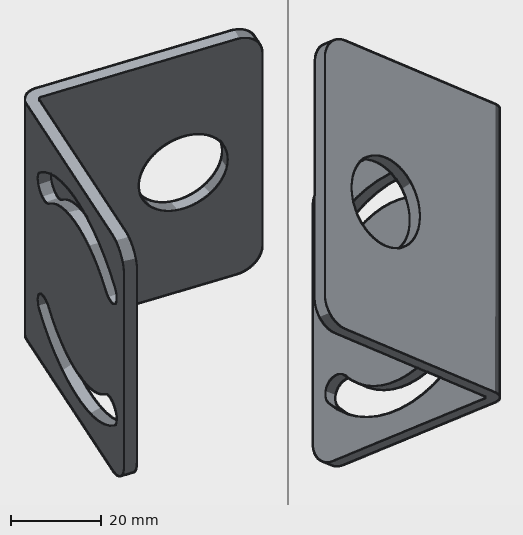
import cadquery as cq
import math

leg_length = 57.15
height = 69.85
thickness = 3.15
inner_bend_radius = 0.8
outer_bend_radius = inner_bend_radius + thickness
corner_radius = 6.35
mid_height = height / 2

pivot_x = 31.65
slot_path_radius = 25.4
slot_width = 7.1
slot_half_angle = 45.0

hole_y = 38.1
hole_diameter = 21.4


def make_bent_sheet():
    """L-shaped sheet with a rounded bend and rounded free corners."""
    profile = (
        cq.Workplane("XY")
        .moveTo(0, 0)
        .lineTo(leg_length, 0)
        .lineTo(leg_length, thickness)
        .lineTo(thickness, thickness)
        .lineTo(thickness, leg_length)
        .lineTo(0, leg_length)
        .close()
    )
    sheet = profile.extrude(height)
    sheet = sheet.edges(cq.NearestToPointSelector((0, 0, mid_height))).fillet(outer_bend_radius)
    inner_corner = (thickness, thickness, mid_height)
    sheet = sheet.edges(cq.NearestToPointSelector(inner_corner)).fillet(inner_bend_radius)
    sheet = sheet.faces(">X").edges("|Y").fillet(corner_radius)
    return sheet.faces(">Y").edges("|X").fillet(corner_radius)


def make_arc_slot(direction):
    """Cutter for a round-ended arc slot; direction is +1 above the pivot, -1 below."""

    def slot_point(radius, angle, overrun=0):
        turn = math.radians(angle)
        across = radius * math.sin(turn) + overrun * math.cos(turn)
        outward = radius * math.cos(turn) - overrun * math.sin(turn)
        return (pivot_x + across, mid_height + direction * outward)

    end_radius = slot_width / 2
    inner_radius = slot_path_radius - end_radius
    outer_radius = slot_path_radius + end_radius
    return (
        cq.Workplane("XZ")
        .moveTo(*slot_point(outer_radius, -slot_half_angle))
        .threePointArc(slot_point(outer_radius, 0), slot_point(outer_radius, slot_half_angle))
        .threePointArc(
            slot_point(slot_path_radius, slot_half_angle, end_radius),
            slot_point(inner_radius, slot_half_angle),
        )
        .threePointArc(slot_point(inner_radius, 0), slot_point(inner_radius, -slot_half_angle))
        .threePointArc(
            slot_point(slot_path_radius, -slot_half_angle, -end_radius),
            slot_point(outer_radius, -slot_half_angle),
        )
        .close()
        .extrude(-thickness)
    )


def make_round_hole():
    """Cutter through the leg along Y."""
    return (
        cq.Workplane("YZ")
        .center(hole_y, mid_height)
        .circle(hole_diameter / 2)
        .extrude(thickness)
    )


result = make_bent_sheet().cut(make_round_hole())
for slot_direction in (1, -1):
    result = result.cut(make_arc_slot(slot_direction))